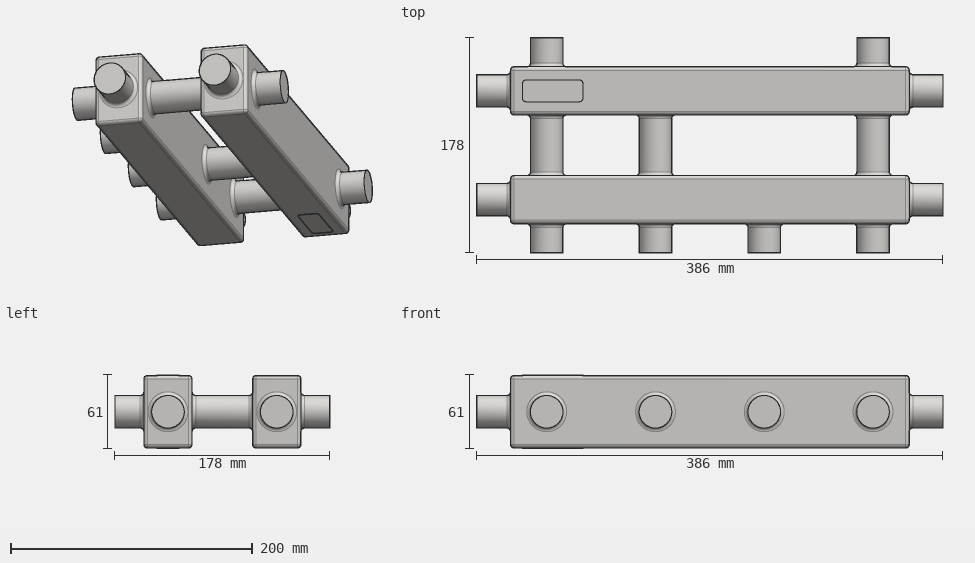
import cadquery as cq

bar_length = 330.0
bar_width = 40.0
bar_height = 60.0
bar_edge_radius = 3.0
bar_spacing = 90.0

pipe_diameter = 27.0
weld_radius = 3.0
end_stub_length = 28.0
side_stub_length = 24.0

port_pitch = 90.0
front_port_count = 4
front_ports = [port_pitch * (i - (front_port_count - 1) / 2) for i in range(front_port_count)]
first_port, second_port, _, last_port = front_ports
link_ports = [first_port, second_port, last_port]
rear_ports = [first_port, last_port]

plate_length = 50.0
plate_width = 18.0
plate_corner_radius = 3.0
plate_thickness = 0.5
plate_end_margin = 10.0

front_bar_y = -bar_spacing / 2
rear_bar_y = bar_spacing / 2
bar_gap = bar_spacing - bar_width

toward_rear = 0
toward_left = 90
toward_front = 180
toward_right = 270


def make_bar(center_y):
    """Solid header bar with all edges rounded."""
    bar = cq.Workplane("XY").box(bar_length, bar_width, bar_height)
    return bar.edges().fillet(bar_edge_radius).translate((0, center_y, 0))


def pipe_profile(length, has_far_weld):
    """Half section of a pipe: radius along X, pipe axis along Y, with concave weld flares."""
    radius = pipe_diameter / 2
    flare_radius = radius + weld_radius
    arc_inset = weld_radius * (1 - 0.5 ** 0.5)
    profile = (
        cq.Workplane("XY")
        .lineTo(flare_radius, 0)
        .threePointArc((radius + arc_inset, arc_inset), (radius, weld_radius))
    )
    if has_far_weld:
        profile = (
            profile.lineTo(radius, length - weld_radius)
            .threePointArc((radius + arc_inset, length - arc_inset), (flare_radius, length))
        )
    else:
        profile = profile.lineTo(radius, length)
    return profile.lineTo(0, length).close()


def make_pipe(start, heading, length, has_far_weld=False):
    """Pipe running from a bar face along the given heading."""
    pipe = pipe_profile(length, has_far_weld).revolve(360, (0, 0, 0), (0, 1, 0))
    return pipe.rotate((0, 0, 0), (0, 0, 1), heading).translate(start)


def make_label_plates():
    """One block through the rear bar, standing proud of its top and bottom faces."""
    center_x = -bar_length / 2 + plate_end_margin + plate_length / 2
    return (
        cq.Workplane("XY")
        .box(plate_length, plate_width, bar_height + 2 * plate_thickness)
        .edges("|Z")
        .fillet(plate_corner_radius)
        .translate((center_x, rear_bar_y, 0))
    )


result = make_bar(front_bar_y).union(make_bar(rear_bar_y))

for bar_y in (front_bar_y, rear_bar_y):
    result = result.union(make_pipe((bar_length / 2, bar_y, 0), toward_right, end_stub_length))
    result = result.union(make_pipe((-bar_length / 2, bar_y, 0), toward_left, end_stub_length))

front_face_y = front_bar_y - bar_width / 2
for port_x in front_ports:
    result = result.union(make_pipe((port_x, front_face_y, 0), toward_front, side_stub_length))

rear_face_y = rear_bar_y + bar_width / 2
for port_x in rear_ports:
    result = result.union(make_pipe((port_x, rear_face_y, 0), toward_rear, side_stub_length))

for port_x in link_ports:
    result = result.union(make_pipe((port_x, -bar_gap / 2, 0), toward_rear, bar_gap, has_far_weld=True))

result = result.union(make_label_plates())